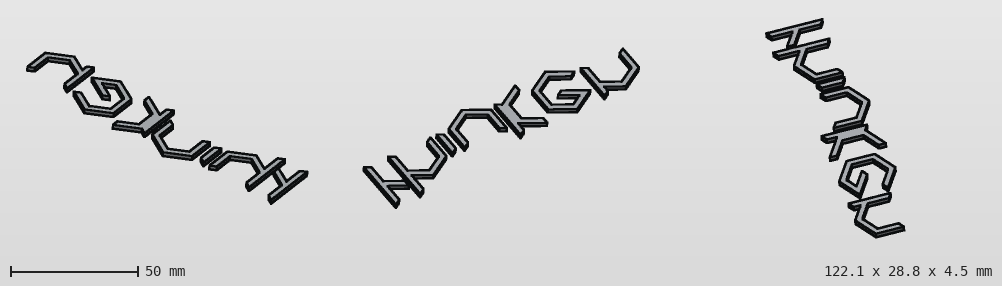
import cadquery as cq
import math

total_length = 122.1
total_depth = 28.8
total_height = 4.5
plate_tilt = 5.0
stroke = 2.6
bar_right = 27.0
end_letter_drop = 0.2

tilt_sin = math.sin(math.radians(plate_tilt))
tilt_cos = math.cos(math.radians(plate_tilt))
plate_length = total_depth * tilt_cos - total_height * tilt_sin
plate_length /= tilt_cos**2 - tilt_sin**2
plate_thickness = (total_height - plate_length * tilt_sin) / tilt_cos

outer_radius = plate_length / 2.5
flat_ratio = math.cos(math.radians(30))
half_width = outer_radius * flat_ratio
inner_radius = outer_radius - stroke / flat_ratio
slant = math.tan(math.radians(30))
side_length = outer_radius
mitre_rise = stroke * slant

UPPER_RIGHT, TOP, UPPER_LEFT = 30, 90, 150
LOWER_LEFT, BOTTOM, LOWER_RIGHT = 210, 270, 330

first_arch_x = half_width - total_length / 2
spiral_x = -28.1
fork_x = -13.9
cup_x = 11.2
bar_x = bar_right - half_width
second_arch_x = 39.8
branch_x = total_length / 2 - half_width


def corner(radius, angle):
    """Corner of a hexagon centred on the origin."""
    turn = math.radians(angle)
    return (radius * math.cos(turn), radius * math.sin(turn))


def outer_corners(*angles):
    return [corner(outer_radius, angle) for angle in angles]


def inner_corners(*angles):
    return [corner(inner_radius, angle) for angle in angles]


def stem_top(rise):
    """Notch and slanted end of a right-hand stem that rises above the upper right corner."""
    tip_y = side_length / 2 + rise
    stem_inner_x = half_width - stroke
    notch_y = outer_radius - stem_inner_x * slant
    return [
        (stem_inner_x, notch_y),
        (stem_inner_x, tip_y - mitre_rise),
        (half_width, tip_y),
    ]


def plate_letter(outline, centre_x, drop=0):
    """Extrude an outline square to the plate, its hexagon centred at centre_x and lowered by drop."""
    plate_plane = cq.Plane(
        origin=(centre_x, -drop * tilt_cos, drop * tilt_sin),
        xDir=(1, 0, 0),
        normal=(0, tilt_sin, tilt_cos),
    )
    return cq.Workplane(plate_plane).polyline(outline).close().extrude(plate_thickness)


def arch(stem_rise, centre_x, drop=0):
    """Arch open at the bottom, with its right leg carried up past the roof."""
    outline = (
        outer_corners(LOWER_LEFT, UPPER_LEFT, TOP)
        + stem_top(stem_rise)
        + outer_corners(LOWER_RIGHT)
        + inner_corners(LOWER_RIGHT, UPPER_RIGHT, TOP, UPPER_LEFT, LOWER_LEFT)
    )
    return plate_letter(outline, centre_x, drop)


def spiral(centre_x):
    """Hexagon open on the left, with a tongue from the upper left corner to the centre."""
    tongue_inner = (2 * stroke - half_width, side_length / 2)
    tongue_end = [(stroke, mitre_rise), (0, 0)]
    outline = (
        outer_corners(LOWER_LEFT, BOTTOM, LOWER_RIGHT, UPPER_RIGHT, TOP, UPPER_LEFT)
        + tongue_end[::-1]
        + [tongue_inner]
        + inner_corners(TOP, UPPER_RIGHT, LOWER_RIGHT, BOTTOM, LOWER_LEFT)
    )
    return plate_letter(outline, centre_x)


def fork(centre_x):
    """Right half of a hexagon backed by a stem on its upright side."""
    stem_x = half_width + stroke
    stem = [
        (stem_x, -side_length / 2 - mitre_rise),
        (stem_x, outer_radius),
        (half_width, outer_radius - mitre_rise),
    ]
    outline = (
        inner_corners(TOP, UPPER_RIGHT, LOWER_RIGHT, BOTTOM)
        + outer_corners(BOTTOM, LOWER_RIGHT)
        + stem
        + outer_corners(UPPER_RIGHT, TOP)
    )
    return plate_letter(outline, centre_x)


def cup(centre_x):
    """Lower four sides of a hexagon, open at the top."""
    outline = (
        outer_corners(UPPER_LEFT, LOWER_LEFT, BOTTOM, LOWER_RIGHT, UPPER_RIGHT)
        + inner_corners(UPPER_RIGHT, LOWER_RIGHT, BOTTOM, LOWER_LEFT, UPPER_LEFT)
    )
    return plate_letter(outline, centre_x)


def bar(centre_x):
    """Right upright side of a hexagon alone."""
    outline = outer_corners(LOWER_RIGHT, UPPER_RIGHT) + inner_corners(UPPER_RIGHT, LOWER_RIGHT)
    return plate_letter(outline, centre_x)


def branch(stem_rise, centre_x, drop=0):
    """Tall right-hand stem with one sloping arm that ends upright at the hexagon's top."""
    outline = (
        outer_corners(TOP)
        + stem_top(stem_rise)
        + outer_corners(LOWER_RIGHT)
        + inner_corners(LOWER_RIGHT, UPPER_RIGHT, TOP)
    )
    return plate_letter(outline, centre_x, drop)


short_rise = side_length / 2
tall_rise = side_length

letters = [
    arch(short_rise, first_arch_x, end_letter_drop),
    spiral(spiral_x),
    fork(fork_x),
    cup(cup_x),
    bar(bar_x),
    arch(tall_rise, second_arch_x),
    branch(tall_rise, branch_x, end_letter_drop),
]

result = cq.Compound.makeCompound([letter.val() for letter in letters])